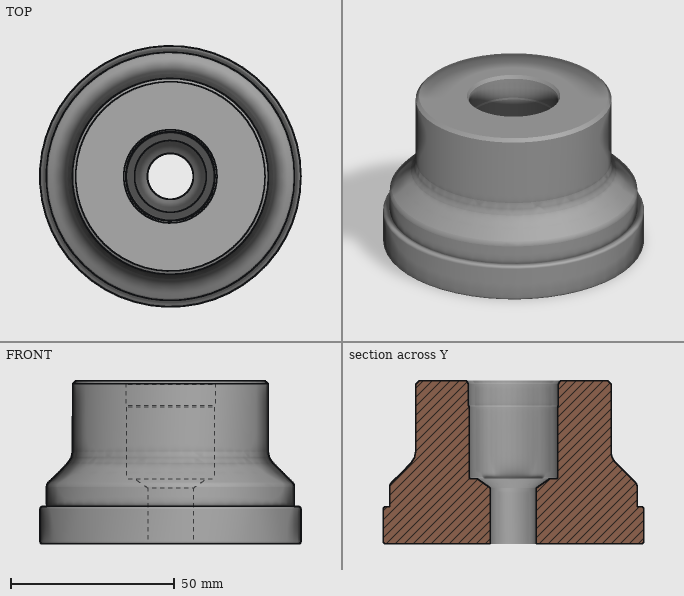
import cadquery as cq
import math

height = 50.0
flange_radius = 40.0
flange_height = 11.5
flange_rounding = 0.8
body_radius = 38.0
body_corner_rounding = 2.0
neck_radius = 30.0
neck_chamfer = 1.0
neck_root_radius = 5.0
cone_top_height = 26.25
cone_bottom_height = cone_top_height - (body_radius - neck_radius)

entry_radius = 14.3
entry_taper_depth = 1.05
mouth_radius = 13.7
mouth_depth = 7.5
bore_radius = 13.5
step_taper_length = 0.55
bore_depth = 30.0
bore_floor_rounding = 0.5
seat_radius = 11.0
through_radius = 7.0
seat_half_angle = 55.0
seat_depth = (seat_radius - through_radius) / math.tan(math.radians(seat_half_angle))

EDGE_MATCH_TOLERANCE = 0.01


def round_edge_at(solid, radius, level, rounding):
    """Round the circular edge of the given radius lying at the given height."""
    def lies_there(edge):
        if edge.geomType() != "CIRCLE":
            return False
        radius_matches = math.isclose(edge.radius(), radius, abs_tol=EDGE_MATCH_TOLERANCE)
        level_matches = math.isclose(edge.arcCenter().z, level, abs_tol=EDGE_MATCH_TOLERANCE)
        return radius_matches and level_matches

    return solid.edges().filter(lies_there).fillet(rounding)


def revolve_profile(profile):
    """Turn a closed (radius, height) profile around the Z axis."""
    return profile.close().revolve(360, (0, 0, 0), (0, 1, 0))


def make_outer_body():
    body = revolve_profile(
        cq.Workplane("XZ")
        .moveTo(0, 0)
        .lineTo(flange_radius, 0)
        .lineTo(flange_radius, flange_height)
        .lineTo(body_radius, flange_height)
        .lineTo(body_radius, cone_bottom_height)
        .lineTo(neck_radius, cone_top_height)
        .lineTo(neck_radius, height - neck_chamfer)
        .lineTo(neck_radius - neck_chamfer, height)
        .lineTo(0, height)
    )
    body = round_edge_at(body, flange_radius, 0, flange_rounding)
    body = round_edge_at(body, flange_radius, flange_height, flange_rounding)
    body = round_edge_at(body, body_radius, cone_bottom_height, body_corner_rounding)
    return round_edge_at(body, neck_radius, cone_top_height, neck_root_radius)


def make_bore():
    floor = height - bore_depth
    mouth_bottom = height - mouth_depth
    bore = revolve_profile(
        cq.Workplane("XZ")
        .moveTo(0, 0)
        .lineTo(through_radius, 0)
        .lineTo(through_radius, floor - seat_depth)
        .lineTo(seat_radius, floor)
        .lineTo(bore_radius, floor)
        .lineTo(bore_radius, mouth_bottom - step_taper_length)
        .lineTo(mouth_radius, mouth_bottom)
        .lineTo(mouth_radius, height - entry_taper_depth)
        .lineTo(entry_radius, height)
        .lineTo(0, height)
    )
    return round_edge_at(bore, bore_radius, floor, bore_floor_rounding)


result = make_outer_body().cut(make_bore())